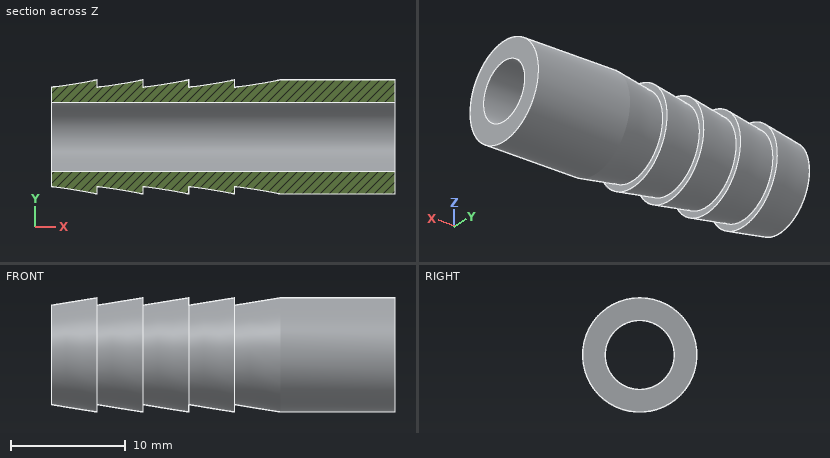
import cadquery as cq

outer_diameter = 10.0
bore_diameter = 6.0
barb_root_diameter = 8.7
barb_count = 5
barb_pitch = 4.0
shank_length = 10.0

outer_radius = outer_diameter / 2
root_radius = barb_root_diameter / 2
bore_radius = bore_diameter / 2
barbed_length = barb_count * barb_pitch
total_length = barbed_length + shank_length


def half_section():
    """Half section in the XZ plane: barbs from the X = 0 end, then the plain shank."""
    points = [(0, bore_radius)]
    for index in range(barb_count):
        barb_start = index * barb_pitch
        points.append((barb_start, root_radius))
        points.append((barb_start + barb_pitch, outer_radius))
    points.append((total_length, outer_radius))
    points.append((total_length, bore_radius))
    return cq.Workplane("XZ").polyline(points).close()


result = half_section().revolve(360, (0, 0, 0), (1, 0, 0))